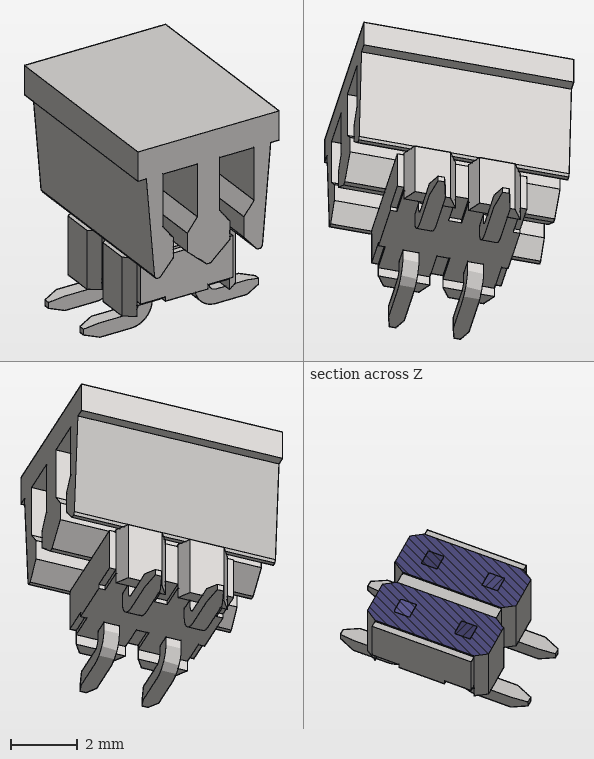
import cadquery as cq
import math

total_height = 7.2
total_depth = 6.2

pin_pitch = 2.0
pin_size = 0.5
inner_bend_radius = 0.25
pin_taper_length = 0.5
pin_tip_size = 0.2

cap_width = 6.5
plate_depth = 5.0
plate_thickness = 1.0
wall_root_depth = 4.4
wall_tip_depth = 3.815
slot_width = 1.22
slot_shoulder_z = 4.4
grip_top_z = 3.94
outer_grip_bottom_z = 3.24
inner_grip_bottom_z = 3.305
tip_chamfer_width = 0.06
tip_chamfer_height = 0.09
wall_tip_flat = 0.13
middle_tip_flat = 0.145

base_width = 4.01
base_depth = 3.27
base_top_z = 2.62
base_underside_z = 1.2
foot_bottom_z = 1.05
crossbar_width = 1.6
crossbar_depth = 4.01
crossbar_chamfer_x = 0.25
crossbar_top_z = 2.7
post_bottom_z = 0.69

pin_offset = pin_pitch / 2
pin_inner_y = pin_offset - pin_size / 2
pin_outer_y = pin_offset + pin_size / 2
plate_underside_z = total_height - plate_thickness
cap_bottom_z = crossbar_top_z
pin_places = [(x, side) for x in (-pin_offset, pin_offset) for side in (-1, 1)]


def box(width, depth, bottom_z, top_z, x=0, y=0):
    """Upright block centred on (x, y) between two heights."""
    return (
        cq.Workplane("XY")
        .box(width, depth, top_z - bottom_z, centered=(True, True, False))
        .translate((x, y, bottom_z))
    )


def make_cap():
    """Cap of constant section along X: a top plate with three fingers that grip two rows of pins."""
    slot_inner_y = pin_offset - slot_width / 2
    slot_outer_y = pin_offset + slot_width / 2
    wall_tip_y = wall_tip_depth / 2
    tip_flat_outer_y = wall_tip_y - tip_chamfer_width
    half_section = [
        (plate_depth / 2, total_height),
        (plate_depth / 2, plate_underside_z),
        (wall_root_depth / 2, plate_underside_z),
        (wall_tip_y, cap_bottom_z + tip_chamfer_height),
        (tip_flat_outer_y, cap_bottom_z),
        (tip_flat_outer_y - wall_tip_flat, cap_bottom_z),
        (pin_outer_y, outer_grip_bottom_z),
        (pin_outer_y, grip_top_z),
        (slot_outer_y, slot_shoulder_z),
        (slot_outer_y, plate_underside_z),
        (slot_inner_y, plate_underside_z),
        (slot_inner_y, slot_shoulder_z),
        (pin_inner_y, grip_top_z),
        (pin_inner_y, inner_grip_bottom_z),
        (middle_tip_flat / 2, cap_bottom_z),
    ]
    mirrored_half = [(-y, z) for y, z in reversed(half_section)]
    section = cq.Workplane("YZ").polyline(half_section + mirrored_half).close()
    return section.extrude(cap_width / 2, both=True)


def make_crossbar(x):
    """Bar along Y with chamfered ends; its ends hang down as posts outside the base block."""
    flat_half_width = crossbar_width / 2 - crossbar_chamfer_x
    end_corners = [(crossbar_width / 2, base_depth / 2), (flat_half_width, crossbar_depth / 2)]
    outline = end_corners + [(-px, py) for px, py in reversed(end_corners)]
    outline += [(-px, -py) for px, py in outline]
    bar = cq.Workplane("XY").polyline(outline).close().extrude(crossbar_top_z - post_bottom_z)
    bar = bar.translate((x, 0, post_bottom_z))
    return bar.cut(box(crossbar_width, base_depth, post_bottom_z, foot_bottom_z, x))


def make_base():
    """Base block with a foot rib, two crossbars and a square hole for each pin."""
    base = box(base_width, base_depth, base_underside_z, base_top_z)
    base = base.union(box(base_width, 2 * pin_inner_y, foot_bottom_z, base_underside_z))
    for x in (-pin_offset, pin_offset):
        base = base.union(make_crossbar(x))
    for x, side in pin_places:
        base = base.cut(box(pin_size, pin_size, foot_bottom_z, crossbar_top_z, x, side * pin_offset))
    return base


def bend_middle(radius, center_y, center_z):
    """Middle of the quarter turn from the upright wire to the level foot."""
    reach = radius * math.sqrt(0.5)
    return (center_y - reach, center_z - reach)


def make_pin(x, side):
    """Square wire bent outward into a flat foot with a tapered tip; side is the sign of Y."""
    outer_bend_radius = inner_bend_radius + pin_size
    bend_y = pin_outer_y + inner_bend_radius
    bend_z = outer_bend_radius
    taper_start_y = total_depth / 2 - pin_taper_length
    wire = (
        cq.Workplane("YZ")
        .moveTo(pin_inner_y, plate_underside_z)
        .lineTo(pin_inner_y, bend_z)
        .threePointArc(bend_middle(outer_bend_radius, bend_y, bend_z), (bend_y, 0))
        .lineTo(taper_start_y, 0)
        .lineTo(taper_start_y, pin_size)
        .lineTo(bend_y, pin_size)
        .threePointArc(bend_middle(inner_bend_radius, bend_y, bend_z), (pin_outer_y, bend_z))
        .lineTo(pin_outer_y, plate_underside_z)
        .close()
        .extrude(pin_size / 2, both=True)
    )
    tip = (
        cq.Workplane("XZ", origin=(0, taper_start_y, pin_size / 2))
        .rect(pin_size, pin_size)
        .workplane(offset=-pin_taper_length)
        .rect(pin_tip_size, pin_tip_size)
        .loft(ruled=True)
    )
    pin = wire.union(tip)
    if side < 0:
        pin = pin.mirror("XZ")
    return pin.translate((x, 0, 0))


cap = make_cap()
base = make_base()
pins = [make_pin(x, side) for x, side in pin_places]

result = cq.Compound.makeCompound([cap.val(), base.val(), *[pin.val() for pin in pins]])